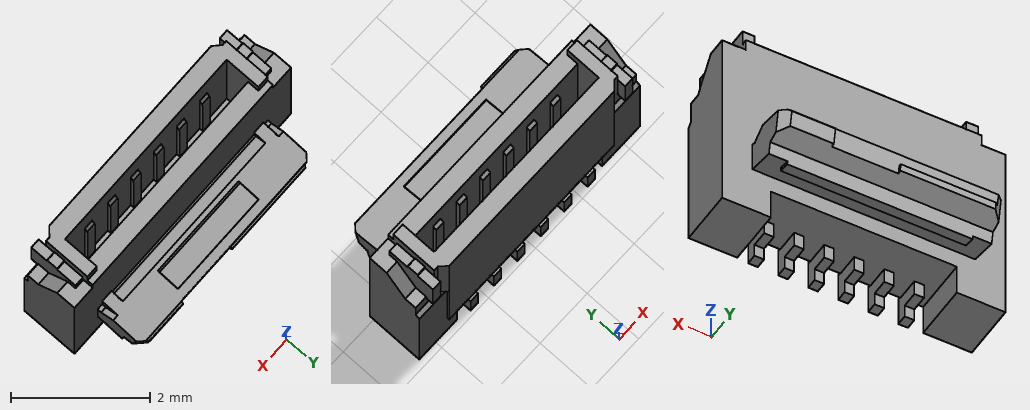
import cadquery as cq
import math


half_length = 2.35
total_height = 3.6
rear_wall_top = 3.34
wing_top = 3.15
shroud_half = 1.955
front_face = -0.965
ledge_face = -0.895
slant_start_y = -0.33
slant_end_y = -0.69
slant_end_z = 2.625
ledge_z = 2.265
ledge_chamfer_z = ledge_z - (ledge_face - front_face)
arm_rear = -0.1

panel_face = -1.005
panel_half = 1.76
panel_bottom = 0.68
panel_flank_half = 1.875

cavity_half = 1.755
cavity_rear = -0.295
cavity_front = -0.705
cavity_floor = 0.94

pin_count = 6
pin_pitch = 0.5
pin_width = 0.16
pin_front = -1.025
pin_bottom = 0.045
pin_top = 0.545
pin_depth = 0.185
pin_limb_bottom = 0.265
pin_limb_rear = -0.565
contact_tip = 2.82
contact_proud = 0.06
rear_blade_angle = 39.0
front_blade_angle = 61.0
front_blade_nose_angle = 80.0
front_blade_nose = 0.015
notch_half = 1.54
notch_height = 0.515

clip_inner = 1.965
clip_outer = 2.125
clip_rear = -0.18
clip_bottom = 2.55
nub_rear = -0.53
nub_front = -0.725
nub_top = 3.405

latch_tilt = 10.0
latch_pivot_z = 1.505
latch_half = 1.845
latch_root = -0.14
latch_reach = 0.895
latch_thickness = 0.68
latch_nose_depth = 0.3
latch_heel = 0.595
latch_heel_depth = 0.475
latch_corner = 0.145
mark_depth = 0.045
mark_bevel = 0.03
step_depth = 0.19
step_end_x = -0.12
pad_start_x = 0.978
foot_root = 0.4
foot_half = 1.535
foot_drop = 0.05
side_notch_outer = 0.3
side_notch_inner = 0.105
side_notch_depth = 0.197
side_notch_inner_half = 1.75
middle_notch_outer = 0.22
middle_notch_bend = 0.085
middle_notch_bend_depth = 0.1
middle_notch_inner = 0.055
middle_notch_depth = 0.125
middle_notch_half = 1.545
pocket_half = 0.875
pocket_inner = 0.3
pocket_outer = 0.69
pocket_depth = 0.03
pocket_ramp = 0.035


def block(x0, x1, y0, y1, z0, z1):
    """Box between two opposite corners."""
    size = (abs(x1 - x0), abs(y1 - y0), abs(z1 - z0))
    return cq.Workplane("XY").box(*size).translate(((x0 + x1) / 2, (y0 + y1) / 2, (z0 + z1) / 2))


def side_profile(points, x0, x1):
    """Closed (y, z) outline extruded from x0 to x1."""
    return cq.Workplane("YZ").polyline(points).close().extrude(x1 - x0).translate((x0, 0, 0))


def make_housing():
    wing_outline = [
        (0, 0),
        (0, wing_top),
        (slant_start_y, wing_top),
        (slant_end_y, slant_end_z),
        (ledge_face, slant_end_z),
        (ledge_face, ledge_z),
        (front_face, ledge_chamfer_z),
        (front_face, 0),
    ]
    body = side_profile(wing_outline, -half_length, half_length)
    body = body.union(block(-shroud_half, shroud_half, 0, ledge_face, slant_end_z, rear_wall_top))
    body = body.union(
        block(-shroud_half, shroud_half, arm_rear, ledge_face, rear_wall_top, total_height)
    )
    body = body.union(
        block(-panel_half, panel_half, ledge_face, panel_face, panel_bottom, total_height)
    )
    flanks = [
        (-panel_flank_half, ledge_face),
        (-panel_half, panel_face),
        (panel_half, panel_face),
        (panel_flank_half, ledge_face),
    ]
    flank_height = total_height - ledge_chamfer_z
    body = body.union(
        cq.Workplane("XY", origin=(0, 0, ledge_chamfer_z)).polyline(flanks).close().extrude(flank_height)
    )
    body = body.cut(
        block(-cavity_half, cavity_half, cavity_rear, cavity_front, cavity_floor, total_height)
    )
    body = body.cut(
        block(-cavity_half, cavity_half, 0, cavity_front, rear_wall_top, total_height)
    )
    return body.cut(block(-notch_half, notch_half, 0, front_face, 0, notch_height))


def make_contact(x):
    """Solder pin with its limb, and the two contact blades in the cavity."""
    x0 = x - pin_width / 2
    x1 = x + pin_width / 2
    pin = block(x0, x1, pin_front, pin_front + pin_depth, pin_bottom, pin_top)
    pin = pin.union(block(x0, x1, pin_front, pin_limb_rear, pin_limb_bottom, pin_top))
    rear_bevel = contact_proud * math.tan(math.radians(rear_blade_angle))
    rear_blade = [
        (cavity_rear, cavity_floor),
        (cavity_rear, contact_tip),
        (cavity_rear - contact_proud, contact_tip - rear_bevel),
        (cavity_rear - contact_proud, cavity_floor),
    ]
    nose_start = contact_proud - front_blade_nose
    front_bevel = nose_start * math.tan(math.radians(front_blade_angle))
    nose_drop = front_blade_nose * math.tan(math.radians(front_blade_nose_angle))
    front_blade = [
        (cavity_front, cavity_floor),
        (cavity_front, contact_tip),
        (cavity_front + nose_start, contact_tip - front_bevel),
        (cavity_front + contact_proud, contact_tip - front_bevel - nose_drop),
        (cavity_front + contact_proud, cavity_floor),
    ]
    for blade in (rear_blade, front_blade):
        pin = pin.union(side_profile(blade, x0, x1))
    return pin


def make_clip():
    """Plate on the +X side with a small nub on its upper edge."""
    plate = block(clip_inner, clip_outer, clip_rear, pin_front, clip_bottom, rear_wall_top)
    return plate.union(block(clip_inner, clip_outer, nub_rear, nub_front, rear_wall_top, nub_top))


def make_latch_blank():
    """Level latch with a cornered, stepped nose and a foot; its top face lies on z = 0."""
    outline = [
        (latch_root, 0),
        (latch_reach - mark_depth, 0),
        (latch_reach, -mark_bevel),
        (latch_reach, -latch_nose_depth),
        (latch_heel, -latch_heel_depth),
        (latch_heel, -latch_thickness),
        (latch_root, -latch_thickness),
    ]
    latch = side_profile(outline, -latch_half, latch_half)
    for side in (-1, 1):
        corner = [
            (side * latch_half, latch_reach),
            (side * (latch_half - latch_corner), latch_reach),
            (side * latch_half, latch_reach - latch_corner),
        ]
        latch = latch.cut(cq.Workplane("XY").polyline(corner).close().extrude(-latch_thickness))

    mark_base = latch_reach - mark_depth
    latch = latch.cut(
        block(-latch_half, step_end_x, mark_base, latch_reach, -step_depth, 0)
    )
    latch = latch.cut(
        block(step_end_x, pad_start_x, mark_base, latch_reach, -latch_thickness, 0)
    )
    foot_bottom = -latch_thickness - foot_drop
    latch = latch.union(
        block(-foot_half, foot_half, foot_root, latch_heel, foot_bottom, -latch_thickness)
    )
    return latch


def cut_latch_top(latch):
    """Notches with a sloping outer wall next to the housing, and a shallow pocket."""
    side_notch = [
        (latch_root, 0),
        (side_notch_outer, 0),
        (side_notch_inner, -side_notch_depth),
        (latch_root, -side_notch_depth),
    ]
    latch = latch.cut(side_profile(side_notch, -latch_half, -side_notch_inner_half))
    latch = latch.cut(side_profile(side_notch, side_notch_inner_half, latch_half))
    middle_notch = [
        (latch_root, 0),
        (middle_notch_outer, 0),
        (middle_notch_bend, -middle_notch_bend_depth),
        (middle_notch_inner, -middle_notch_depth),
        (latch_root, -middle_notch_depth),
    ]
    latch = latch.cut(side_profile(middle_notch, -middle_notch_half, middle_notch_half))
    pocket = [
        (pocket_inner, 0),
        (pocket_outer, 0),
        (pocket_outer, -pocket_depth),
        (pocket_inner + pocket_ramp, -pocket_depth),
    ]
    return latch.cut(side_profile(pocket, -pocket_half, pocket_half))


def make_latch():
    """Finished latch, tilted downwards and set on the rear wall."""
    latch = cut_latch_top(make_latch_blank())
    return latch.rotate((0, 0, 0), (1, 0, 0), -latch_tilt).translate((0, 0, latch_pivot_z))


result = make_housing()
for index in range(pin_count):
    contact_x = (index - (pin_count - 1) / 2) * pin_pitch
    result = result.union(make_contact(contact_x))
clip = make_clip()
result = result.union(clip).union(clip.mirror("YZ"))
result = result.union(make_latch())